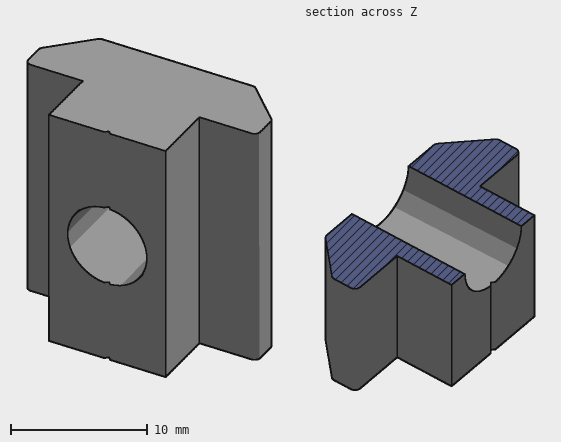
import cadquery as cq

head_width = 19.5
total_depth = 10.6
length = 20.0
stem_width = 9.8
stem_depth = 5.1
back_width = 13.0
chamfer = (head_width - back_width) / 2
corner_radius = 0.5
bore_diameter = 6.65
groove_width = 0.5
groove_depth = groove_width / 2
groove_radius = 0.1

front_y = -total_depth / 2
back_y = total_depth / 2
shoulder_y = front_y + stem_depth
head_depth = back_y - shoulder_y


def make_head():
    """Clamping head with bevelled back corners and rounded long edges."""
    head = (
        cq.Workplane("XY")
        .box(head_width, head_depth, length)
        .translate((0, shoulder_y + head_depth / 2, 0))
    )
    return head.edges("|Z and >Y").chamfer(chamfer).edges("|Z").fillet(corner_radius)


def make_stem():
    """Sharp-edged rectangular stem that rides in the slot."""
    return (
        cq.Workplane("XY")
        .box(stem_width, stem_depth, length)
        .translate((0, front_y + stem_depth / 2, 0))
    )


def make_bore():
    """Plain through hole along Y at the centre of the part."""
    return cq.Workplane("XZ").circle(bore_diameter / 2).extrude(total_depth / 2, both=True)


def make_groove():
    """V groove along the middle of the stem's front face, still sharp-edged."""
    return (
        cq.Workplane("XY")
        .moveTo(-groove_width / 2, front_y)
        .lineTo(0, front_y + groove_depth)
        .lineTo(groove_width / 2, front_y)
        .close()
        .extrude(length / 2, both=True)
    )


def groove_edges(body):
    """Select the root and the two lips of the groove, all running along Z."""
    half_reach = groove_width
    selector = cq.selectors.BoxSelector(
        (-half_reach, front_y - half_reach, -length),
        (half_reach, front_y + half_reach, length),
    )
    return body.edges("|Z").edges(selector)


body = make_head().union(make_stem()).cut(make_groove())
body = groove_edges(body).fillet(groove_radius)
result = body.cut(make_bore())